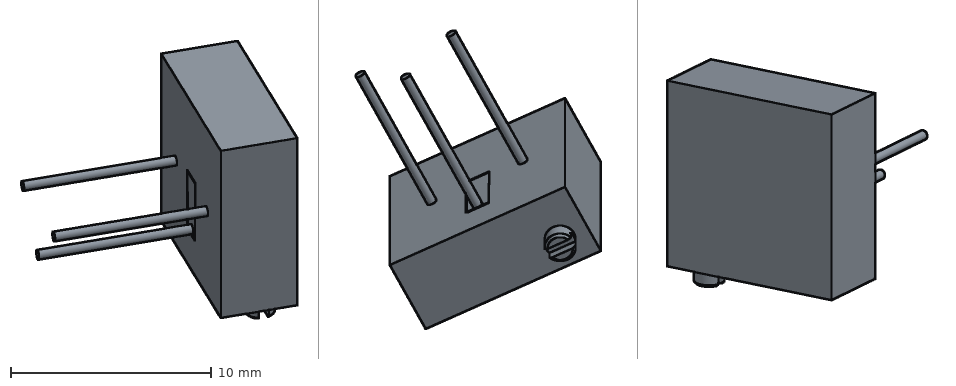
import cadquery as cq

BODY_SIDE = 9.78
BODY_DEPTH = 4.01
FRONT_Y = 0.0

PIN_PITCH = 2.54
PIN_DIAMETER = 0.51
CENTRE_PIN_LENGTH = 8.03
SIDE_PIN_LENGTH = 8.0

WINDOW_WIDTH = 1.31
WINDOW_TOP = 0.53
WINDOW_BOTTOM = -2.83
WINDOW_DEPTH = 0.04
BEVEL_TOP = -0.76
BEVEL_WIDTH = 0.065

SCREW_DIAMETER = 1.55
SCREW_LENGTH = 1.01
SCREW_X = 3.36
SCREW_Y = 2.52
SCREW_CHAMFER = 0.14
SLOT_WIDTH = 0.53
SLOT_DEPTH = 0.63


def make_body():
    return cq.Workplane("XY").box(BODY_SIDE, BODY_DEPTH, BODY_SIDE).translate(
        (0, FRONT_Y + BODY_DEPTH / 2, 0)
    )


def make_window():
    """Cutter for the shallow window; its lower side walls are bevelled."""
    half_width = WINDOW_WIDTH / 2
    floor_y = FRONT_Y + WINDOW_DEPTH
    height = WINDOW_TOP - WINDOW_BOTTOM
    window = cq.Workplane("XY").box(WINDOW_WIDTH, WINDOW_DEPTH, height).translate(
        (0, FRONT_Y + WINDOW_DEPTH / 2, WINDOW_BOTTOM + height / 2)
    )
    for side in (-1, 1):
        bevel = (
            cq.Workplane("XY", origin=(0, 0, WINDOW_BOTTOM))
            .moveTo(side * half_width, FRONT_Y)
            .lineTo(side * half_width, floor_y)
            .lineTo(side * (half_width - BEVEL_WIDTH), floor_y)
            .close()
            .extrude(BEVEL_TOP - WINDOW_BOTTOM)
        )
        window = window.cut(bevel)
    return window


def make_pin(x, z, length):
    """Round pin rooted at the window floor depth and reaching out along -Y."""
    root_y = FRONT_Y + WINDOW_DEPTH
    return (
        cq.Workplane("XZ", origin=(x, root_y, z))
        .circle(PIN_DIAMETER / 2)
        .extrude(length + WINDOW_DEPTH)
    )


def make_screw():
    """Screw head below the body with a chamfered tip and a slot along X."""
    body_bottom = -BODY_SIDE / 2
    screw = (
        cq.Workplane("XY", origin=(SCREW_X, SCREW_Y, body_bottom))
        .circle(SCREW_DIAMETER / 2)
        .extrude(-SCREW_LENGTH)
        .faces("<Z")
        .chamfer(SCREW_CHAMFER)
    )
    slot = cq.Workplane("XY").box(SCREW_DIAMETER, SLOT_WIDTH, SLOT_DEPTH).translate(
        (SCREW_X, SCREW_Y, body_bottom - SCREW_LENGTH + SLOT_DEPTH / 2)
    )
    return screw.cut(slot)


result = make_body().cut(make_window())
for pin_x in (-PIN_PITCH, PIN_PITCH):
    result = result.union(make_pin(pin_x, 0, SIDE_PIN_LENGTH))
result = result.union(make_pin(0, -PIN_PITCH, CENTRE_PIN_LENGTH))
result = result.union(make_screw())